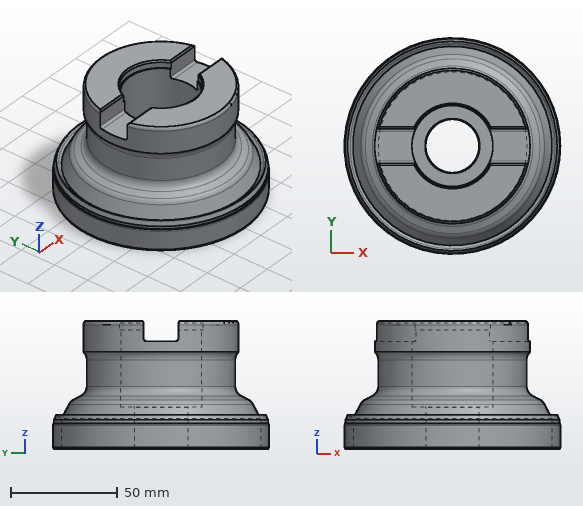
import cadquery as cq
import math

total_height = 60.33
ring_diameter = 101.65

head_radius = 73.0 / 2
head_round_radius = 2.0
head_round_sweep = math.radians(60)
head_bottom = 45.7
neck_radius = 70.0 / 2
neck_top = 42.1
neck_bottom = 29.5
flare_radius = 5.0
shoulder_radius = 5.0
shoulder_slope = math.radians(27)
skirt_slope = math.radians(62)
shoulder_length = 3.75
seat_radius = 46.8

bore_radius = 38.1 / 2
relief_radius = 39.1 / 2
relief_depth = 4.1
bore_chamfer = 0.55
bore_chamfer_depth = 1.0
bore_floor = 20.0
bolt_hole_radius = 25.0 / 2
bolt_hole_chamfer = 0.4
slot_width = 16.3
slot_depth = 9.5
slot_fillet = 1.2
slot_chamfer = 0.8

ring_radius = ring_diameter / 2
ring_top = 16.3
lip_crown_radius = 49.2
lip_inner_radius = 48.2
lip_inner_drop = 0.6
bevel_top_radius = 49.4
bevel_top = 16.0
bevel_bottom_radius = 50.2
bevel_bottom = 14.05
band_radius = 50.45
band_top = 13.75
band_bottom = 12.3
rim_bevel_radius = 50.7
rim_bevel_height = 12.0
rim_top = 11.3
bottom_chamfer = 0.4
bottom_chamfer_height = 0.9


def arc_point(center, radius, angle):
    """Point at an angle and distance from a center, in the (radius, height) plane."""
    return (center[0] + radius * math.cos(angle), center[1] + radius * math.sin(angle))


def revolve_about_z(profile):
    """Turn a closed (radius, height) profile around the Z axis."""
    return profile.close().revolve(360, (0, 0, 0), (0, 1, 0))


flare_center = (neck_radius + flare_radius, neck_bottom)
flare_sweep = math.pi / 2 - shoulder_slope
flare_mid = arc_point(flare_center, flare_radius, math.pi + flare_sweep / 2)
flare_end = arc_point(flare_center, flare_radius, math.pi + flare_sweep)

shoulder_end = arc_point(flare_end, shoulder_length, -shoulder_slope)
shoulder_normal = math.pi / 2 - shoulder_slope
skirt_normal = math.pi / 2 - skirt_slope
shoulder_center = arc_point(shoulder_end, -shoulder_radius, shoulder_normal)
shoulder_mid = arc_point(shoulder_center, shoulder_radius, (shoulder_normal + skirt_normal) / 2)
skirt_start = arc_point(shoulder_center, shoulder_radius, skirt_normal)
seat_top = skirt_start[1] - (seat_radius - skirt_start[0]) * math.tan(skirt_slope)

undercut_run = head_radius - neck_radius
undercut_rise = head_bottom - neck_top
undercut_radius = (undercut_run**2 + undercut_rise**2) / (2 * undercut_run)
undercut_center = (neck_radius + undercut_radius, neck_top)
undercut_sweep = math.asin(undercut_rise / undercut_radius)
undercut_mid = arc_point(undercut_center, undercut_radius, math.pi - undercut_sweep / 2)

head_round_center = (
    head_radius - head_round_radius,
    total_height - head_round_radius * math.sin(head_round_sweep),
)
head_round_mid = arc_point(head_round_center, head_round_radius, head_round_sweep / 2)
head_round_end = arc_point(head_round_center, head_round_radius, head_round_sweep)

lip_run = lip_crown_radius - lip_inner_radius
lip_round_radius = (lip_run**2 + lip_inner_drop**2) / (2 * lip_inner_drop)
lip_round_center = (lip_crown_radius, ring_top - lip_round_radius)
lip_round_sweep = math.asin(lip_run / lip_round_radius)
lip_round_mid = arc_point(lip_round_center, lip_round_radius, (math.pi + lip_round_sweep) / 2)


def make_hub_blank():
    """Solid hub before the bore and the drive slot are cut."""
    profile = (
        cq.Workplane("XZ")
        .moveTo(0, 0)
        .lineTo(seat_radius, 0)
        .lineTo(seat_radius, seat_top)
        .lineTo(*skirt_start)
        .threePointArc(shoulder_mid, shoulder_end)
        .lineTo(*flare_end)
        .threePointArc(flare_mid, (neck_radius, neck_bottom))
        .lineTo(neck_radius, neck_top)
        .threePointArc(undercut_mid, (head_radius, head_bottom))
        .lineTo(head_radius, head_round_center[1])
        .threePointArc(head_round_mid, head_round_end)
        .lineTo(0, total_height)
    )
    return revolve_about_z(profile)


def make_bore():
    """Stepped bore: chamfered mouth, short relief, arbor bore and bolt through hole."""
    profile = (
        cq.Workplane("XZ")
        .moveTo(0, 0)
        .lineTo(bolt_hole_radius, 0)
        .lineTo(bolt_hole_radius, bore_floor - bolt_hole_chamfer)
        .lineTo(bolt_hole_radius + bolt_hole_chamfer, bore_floor)
        .lineTo(bore_radius, bore_floor)
        .lineTo(bore_radius, total_height - relief_depth)
        .lineTo(relief_radius, total_height - relief_depth)
        .lineTo(relief_radius, total_height - bore_chamfer_depth)
        .lineTo(relief_radius + bore_chamfer, total_height)
        .lineTo(0, total_height)
    )
    return revolve_about_z(profile)


def make_slot():
    """Drive slot along X across the head, rounded at the floor and chamfered at the mouth."""
    length = 2 * ring_radius
    half_width = slot_width / 2
    mouth_half_width = half_width + slot_chamfer
    channel = (
        cq.Workplane("XY")
        .workplane(offset=total_height - slot_depth)
        .rect(length, slot_width)
        .extrude(slot_depth)
        .edges("|X and <Z")
        .fillet(slot_fillet)
    )
    mouth = (
        cq.Workplane("YZ")
        .moveTo(-half_width, total_height - slot_chamfer)
        .lineTo(half_width, total_height - slot_chamfer)
        .lineTo(mouth_half_width, total_height)
        .lineTo(-mouth_half_width, total_height)
        .close()
        .extrude(length / 2, both=True)
    )
    return channel.union(mouth)


def make_ring():
    """Outer ring with a rounded lip whose inner wall falls to meet the hub skirt."""
    profile = (
        cq.Workplane("XZ")
        .moveTo(seat_radius, 0)
        .lineTo(ring_radius - bottom_chamfer, 0)
        .lineTo(ring_radius, bottom_chamfer_height)
        .lineTo(ring_radius, rim_top)
        .lineTo(rim_bevel_radius, rim_bevel_height)
        .lineTo(band_radius, band_bottom)
        .lineTo(band_radius, band_top)
        .lineTo(bevel_bottom_radius, bevel_bottom)
        .lineTo(bevel_top_radius, bevel_top)
        .lineTo(lip_crown_radius, ring_top)
        .threePointArc(lip_round_mid, (lip_inner_radius, ring_top - lip_inner_drop))
        .lineTo(seat_radius, seat_top)
    )
    return revolve_about_z(profile)


hub = make_hub_blank().cut(make_bore()).cut(make_slot())
ring = make_ring()

result = cq.Compound.makeCompound([hub.val(), ring.val()])